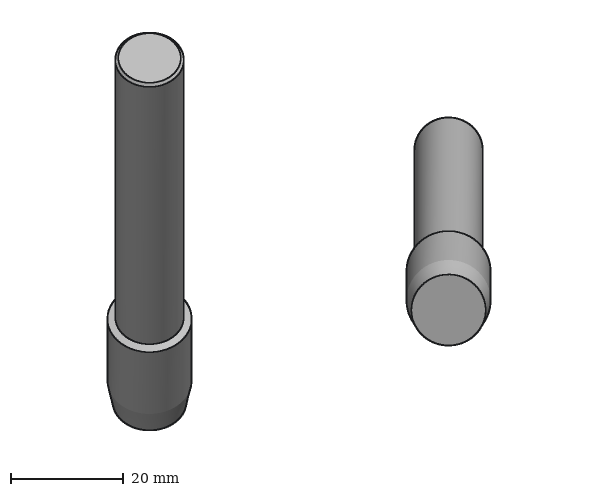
import cadquery as cq

total_length = 100.0
head_length = 24.5
nose_length = 6.0

head_diameter = 15.0
nose_end_diameter = 13.2
shoulder_height = 0.5

shank_diameter = 12.2
shank_end_diameter = 11.1
shank_chamfer_height = 0.5

head_radius = head_diameter / 2
nose_end_radius = nose_end_diameter / 2
shank_radius = shank_diameter / 2
shank_end_radius = shank_end_diameter / 2


def make_head():
    """Revolve the head with its conical nose and sloping shoulder."""
    return (
        cq.Workplane("XZ")
        .lineTo(nose_end_radius, 0)
        .lineTo(head_radius, nose_length)
        .lineTo(head_radius, head_length - shoulder_height)
        .lineTo(shank_radius, head_length)
        .lineTo(0, head_length)
        .close()
        .revolve(360, (0, 0, 0), (0, 1, 0))
    )


def make_shank():
    """Revolve the rod from the top of the head to its chamfered free end."""
    return (
        cq.Workplane("XZ")
        .moveTo(0, head_length)
        .lineTo(shank_radius, head_length)
        .lineTo(shank_radius, total_length - shank_chamfer_height)
        .lineTo(shank_end_radius, total_length)
        .lineTo(0, total_length)
        .close()
        .revolve(360, (0, 0, 0), (0, 1, 0))
    )


head = make_head()
shank = make_shank()

result = cq.Compound.makeCompound([head.val(), shank.val()])